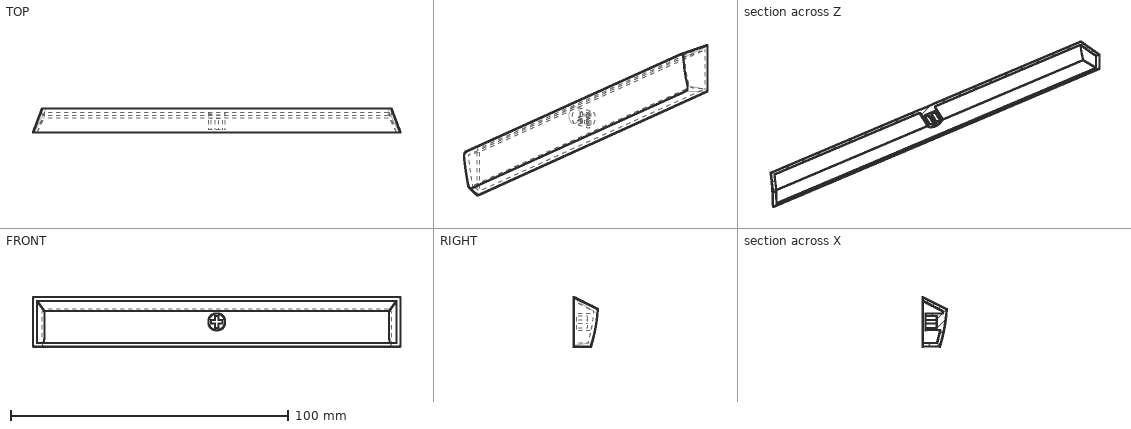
import cadquery as cq
import math

length = 132.5
height = 18.0
depth = 8.7

end_inset = 3.2
crown_height = 13.6
rim_corner_radius = 0.5
crown_corner_radius = 1.7

crown_lower_depth = 6.2
crown_bulge = 0.44
overshoot = 1.1
wall = 1.5

stem_diameter = 6.1
stem_recess = 1.0
stem_height = height / 2
cross_span = 4.2
cross_width = 1.2
cross_depth = 4.0


def outline(inset, top, lower_y, upper_y, margin, radius):
    """Rectangle leaning from lower_y at the bottom to upper_y at the top."""
    lean = upper_y - lower_y
    slant = math.hypot(lean, top)
    sketch = cq.Sketch().rect(length - 2 * (inset + margin), slant - 2 * margin)
    if radius > 0:
        sketch = sketch.vertices().fillet(radius)
    center = (0, (lower_y + upper_y) / 2, top / 2)
    plane = cq.Plane(origin=center, xDir=(1, 0, 0), normal=(0, -top, lean))
    return sketch.reset().faces().val().outerWire().moved(plane.location)


def tapered_block(margin, rim_radius, crown_radius):
    """Loft from the rim to just past the crown, with all walls moved inward by margin."""
    rim = outline(0, height, 0, 0, margin, rim_radius)
    crown = outline(
        end_inset * overshoot,
        height - (height - crown_height) * overshoot,
        crown_lower_depth * overshoot,
        depth * overshoot,
        margin,
        crown_radius,
    )
    return cq.Workplane(cq.Solid.makeLoft([rim, crown], True))


def crown_envelope(offset):
    """Full-length prism bounded at the back by the crown arc, moved toward the rim by offset."""
    lower = crown_lower_depth - offset
    upper = depth - offset
    middle = (lower + upper) / 2 + crown_bulge
    return (
        cq.Workplane("YZ")
        .lineTo(lower, 0)
        .threePointArc((middle, crown_height / 2), (upper, crown_height))
        .lineTo(upper, height)
        .lineTo(0, height)
        .close()
        .extrude(length / 2, both=True)
    )


def stem():
    """Post from the recessed face into the crown, before the socket is cut."""
    center = cq.Vector(0, stem_recess, stem_height)
    post = cq.Solid.makeCylinder(stem_diameter / 2, depth - stem_recess, center, cq.Vector(0, 1, 0))
    return cq.Workplane(post).intersect(crown_envelope(0))


def cross_socket():
    """Two crossing slots cut inward from the stem face."""
    center = (0, stem_recess + cross_depth / 2, stem_height)
    across = cq.Workplane().box(cross_span, cross_depth, cross_width)
    upright = cq.Workplane().box(cross_width, cross_depth, cross_span)
    return across.union(upright).translate(center)


shell = tapered_block(0, rim_corner_radius, crown_corner_radius).intersect(crown_envelope(0))
cavity = tapered_block(wall, 0, 0).intersect(crown_envelope(wall))
result = shell.cut(cavity).union(stem()).cut(cross_socket())